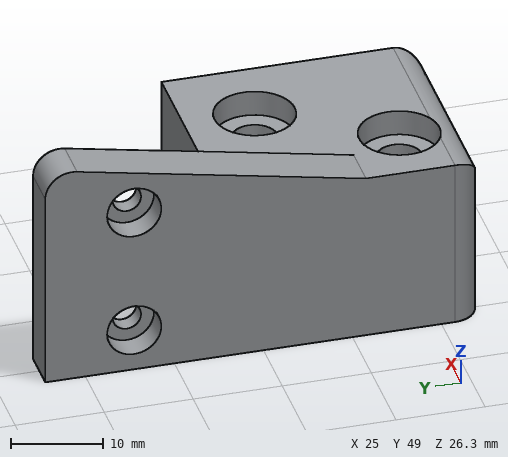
import cadquery as cq

width = 25.0
length = 49.0
block_length = 29.0
block_height = 20.0
plate_thickness = 5.0
round_radius = 3.0

slope_start = 13.0
plate_corner_height = 26.95

block_hole_centers = [(8.0, 7.0), (16.0, 21.0)]
block_hole_diameter = 5.0
block_bore_diameter = 9.0
block_bore_depth = 3.0

plate_hole_y = 39.0
plate_hole_heights = [5.0, 20.0]
plate_hole_diameter = 3.2
plate_bore_diameter = 6.1
plate_bore_depth = 3.0


def make_plate():
    """Upright plate on the -X side, rising towards its rounded rear corner."""
    outline = [
        (0, 0),
        (length, 0),
        (length, plate_corner_height),
        (slope_start, block_height),
        (0, block_height),
    ]
    plate = cq.Workplane("YZ").polyline(outline).close().extrude(plate_thickness)
    return plate.edges("|X and >Y and >Z").fillet(round_radius)


def make_front_envelope():
    """Plan shape with the two rounded vertical front edges."""
    envelope = cq.Workplane("XY").box(width, length, plate_corner_height, centered=False)
    return envelope.edges("|Z and <Y").fillet(round_radius)


def make_top_round():
    """Waste outside the rounded top front edge, running the full width."""
    return (
        cq.Workplane("YZ")
        .moveTo(0, block_height - round_radius)
        .radiusArc((round_radius, block_height), round_radius)
        .lineTo(0, block_height)
        .close()
        .extrude(width)
    )


def make_body():
    """Block and plate joined, with their front edges rounded and mitred."""
    block = cq.Workplane("XY").box(width, block_length, block_height, centered=False)
    return block.union(make_plate()).intersect(make_front_envelope()).cut(make_top_round())


result = (
    make_body()
    .copyWorkplane(cq.Workplane("XY", origin=(0, 0, block_height)))
    .pushPoints(block_hole_centers)
    .cboreHole(block_hole_diameter, block_bore_diameter, block_bore_depth)
)

for hole_height in plate_hole_heights:
    axis_plane = cq.Workplane("YZ", origin=(0, plate_hole_y, hole_height))
    hole = axis_plane.circle(plate_hole_diameter / 2).extrude(plate_thickness)
    counterbore = axis_plane.circle(plate_bore_diameter / 2).extrude(plate_bore_depth)
    result = result.cut(hole).cut(counterbore)